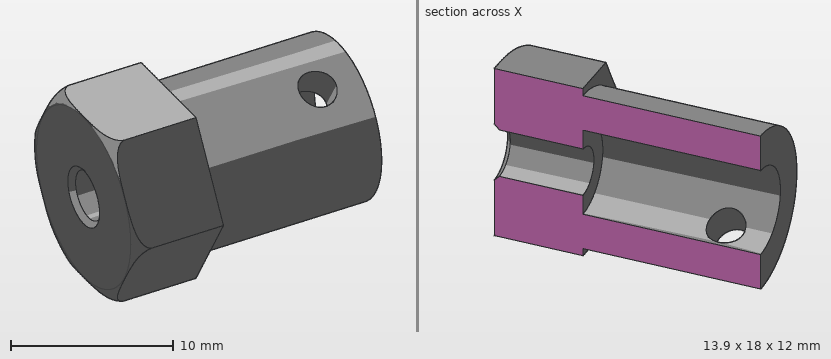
import math
import cadquery as cq

total_length = 18.0
hex_length = total_length / 3
across_flats = 2 * hex_length
across_corners = across_flats / math.cos(math.pi / 6)
sleeve_diameter = 11.0
bore_diameter = 3.3
shaft_socket_diameter = 6.0
bore_mouth_diameter = 4.0
face_diameter = 11.88
corner_round_radius = (across_corners - face_diameter) / 2
cross_hole_diameter = 2.5
cross_hole_angle = 60.0
cross_hole_from_end = hex_length / 2

front_y = -total_length / 2
hex_back_y = front_y + hex_length
back_y = total_length / 2


def cylinder(diameter, start_y, end_y):
    """Solid cylinder on the Y axis between two Y positions."""
    plane = cq.Plane(origin=(0, start_y, 0), xDir=(1, 0, 0), normal=(0, 1, 0))
    return cq.Workplane(plane).circle(diameter / 2).extrude(end_y - start_y)


def hexagon_head():
    """Hexagon with flats facing up and down, its front corners rounded by a revolved arc."""
    plane = cq.Plane(origin=(0, front_y, 0), xDir=(1, 0, 0), normal=(0, 1, 0))
    prism = cq.Workplane(plane).polygon(6, across_corners).extrude(hex_length)
    corner_radius = across_corners / 2
    face_radius = face_diameter / 2
    envelope = (
        cq.Workplane("XY")
        .moveTo(0, front_y)
        .lineTo(face_radius, front_y)
        .tangentArcPoint((corner_radius, front_y + corner_round_radius), relative=False)
        .lineTo(corner_radius, hex_back_y)
        .lineTo(0, hex_back_y)
        .close()
        .revolve(360, (0, 0, 0), (0, 1, 0))
    )
    return prism.intersect(envelope)


def bore_mouth():
    """45 degree countersink at the hexagon end of the bore."""
    depth = (bore_mouth_diameter - bore_diameter) / 2
    return cq.Workplane(obj=cq.Solid.makeCone(
        bore_mouth_diameter / 2,
        bore_diameter / 2,
        depth,
        cq.Vector(0, front_y, 0),
        cq.Vector(0, 1, 0),
    ))


def cross_hole():
    """Radial hole through both walls of the sleeve."""
    length = 2 * sleeve_diameter
    angle = math.radians(cross_hole_angle)
    direction = cq.Vector(math.cos(angle), 0, math.sin(angle))
    start = cq.Vector(0, back_y - cross_hole_from_end, 0) - direction * (length / 2)
    return cq.Workplane(obj=cq.Solid.makeCylinder(
        cross_hole_diameter / 2, length, start, direction))


result = hexagon_head().union(cylinder(sleeve_diameter, hex_back_y, back_y))
result = result.cut(cylinder(bore_diameter, front_y, back_y))
result = result.cut(cylinder(shaft_socket_diameter, hex_back_y, back_y))
result = result.cut(bore_mouth())
result = result.cut(cross_hole())